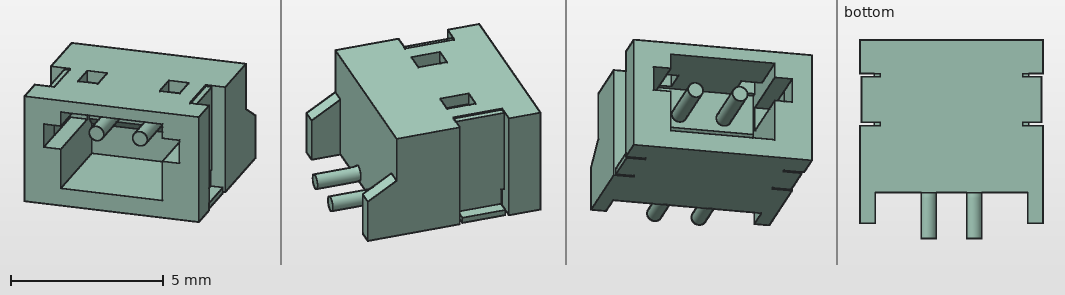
import cadquery as cq

width = 6.0
height = 3.7
total_length = 6.5
body_length = 5.0

ear_width = 0.51
ear_end = 6.0
ear_low_height = 1.5
ear_high_height = 2.1

socket_width = 3.5
socket_floor = 0.61
socket_roof = 3.295
socket_depth = 2.995
key_width = 4.67
key_floor = 1.99
key_roof = 2.8
key_depth = 2.8
step_bottom = 1.66
step_top = 1.94
step_depth = step_top - step_bottom

window_width = 0.69
window_front = 1.81
side_pocket_front = 1.1
side_pocket_rear = 2.8

pocket_floor_x = 2.33
plate_face_x = 2.535
plate_top = 3.645
plate_neck_height = 0.74
foot_face_x = 2.95
foot_height = 0.2
foot_front = 1.2
foot_rear = 2.7

pin_diameter = 0.5
pin_radius = pin_diameter / 2
pin_pitch = 1.495
pin_tip = 0.7
pin_height = 2.4
pin_bend_radius = pin_diameter
pin_bend_end = 5.155


def box(x_range, y_range, z_range):
    """Axis-aligned block between the given limits."""
    size = [limits[1] - limits[0] for limits in (x_range, y_range, z_range)]
    corner = (x_range[0], y_range[0], z_range[0])
    return cq.Workplane("XY").box(*size, centered=False).translate(corner)


def mirrored(right_half):
    """The given right-hand feature together with its left-hand twin."""
    return right_half.union(right_half.mirror("YZ"))


def extrude_side_profile(points, x_start, x_end):
    """Extrude a (y, z) outline along X."""
    profile = cq.Workplane("YZ", origin=(x_start, 0, 0)).polyline(points).close()
    return profile.extrude(x_end - x_start)


def make_ear():
    outline = [
        (body_length, 0),
        (ear_end, 0),
        (ear_end, ear_low_height),
        (body_length, ear_high_height),
    ]
    return extrude_side_profile(outline, width / 2 - ear_width, width / 2)


def make_socket():
    outline = [
        (0, socket_floor),
        (socket_depth + step_depth, socket_floor),
        (socket_depth + step_depth, step_bottom),
        (socket_depth, step_top),
        (socket_depth, socket_roof),
        (0, socket_roof),
    ]
    opening = extrude_side_profile(outline, -socket_width / 2, socket_width / 2)
    keyways = box((-key_width / 2, key_width / 2), (0, key_depth), (key_floor, key_roof))
    return opening.union(keyways)


def make_window():
    outer = socket_width / 2
    return box((outer - window_width, outer), (window_front, side_pocket_rear), (socket_roof, height))


def make_side_pocket():
    return box((pocket_floor_x, width / 2), (side_pocket_front, side_pocket_rear), (0, height))


def make_plate():
    thickness = (pocket_floor_x, plate_face_x)
    foot_span = (foot_front, foot_rear)
    blade = box(thickness, (side_pocket_front, side_pocket_rear), (plate_neck_height, plate_top))
    neck = box(thickness, foot_span, (0, plate_neck_height))
    foot = box((pocket_floor_x, foot_face_x), foot_span, (0, foot_height))
    return blade.union(neck).union(foot)


def make_pin():
    """Round pin running back from the socket, down, and out at the rear."""
    leg_y = pin_bend_end - pin_bend_radius
    path = (
        cq.Workplane("YZ", origin=(pin_pitch / 2, 0, 0))
        .moveTo(pin_tip, pin_height)
        .lineTo(leg_y - pin_bend_radius, pin_height)
        .tangentArcPoint((pin_bend_radius, -pin_bend_radius))
        .lineTo(leg_y, pin_radius + pin_bend_radius)
        .tangentArcPoint((pin_bend_radius, -pin_bend_radius))
        .lineTo(total_length, pin_radius)
    )
    section = cq.Workplane("XZ", origin=(pin_pitch / 2, pin_tip, pin_height)).circle(pin_radius)
    return section.sweep(path)


housing = box((-width / 2, width / 2), (0, body_length), (0, height))
housing = housing.union(mirrored(make_ear()))
housing = housing.cut(make_socket())
housing = housing.cut(mirrored(make_window()))
housing = housing.cut(mirrored(make_side_pocket()))

result = housing.union(mirrored(make_plate())).union(mirrored(make_pin()))